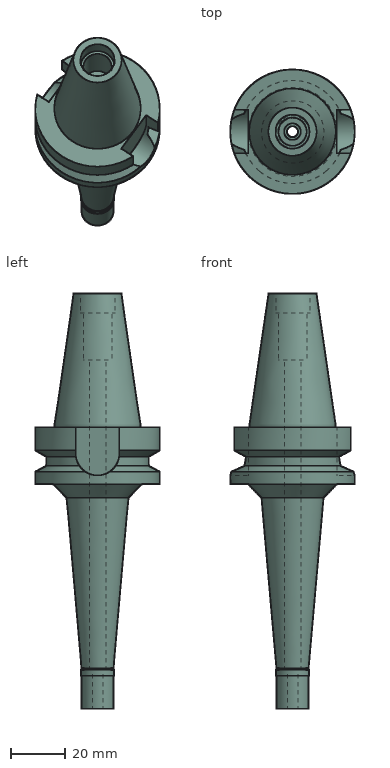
import cadquery as cq

total_length = 153.4
flange_radius = 23.0

taper_top_radius = 8.9
taper_base_radius = 16.0
gauge_height = 105.0

flange_top = 104.0
groove_upper_rim = 95.4
groove_floor_top = 93.1
groove_floor_bottom = 89.7
groove_lower_rim = 87.6
flange_bottom = 83.0
groove_radius = 19.0

slot_width = 16.1
slot_floor_offset = 16.3
slot_bottom = 86.2

collar_radius = 16.4
neck_top = 78.0
neck_top_radius = 11.5
neck_end = 15.0
neck_end_radius = 6.0

nut_gap = 0.6
nut_neck_radius = 5.0
nut_rim_bottom = 12.3
nut_rim_radius = 6.1
nut_radius = 6.0

counterbore_radius = 6.3
counterbore_depth = 7.0
draw_bolt_radius = 5.2
draw_bolt_depth = 24.5
coolant_radius = 3.0
nut_bore_radius = 2.0


def revolve_profile(points):
    """Revolve a closed outline of (radius, height) points about the Z axis."""
    return cq.Workplane("XZ").polyline(points).close().revolve(360, (0, 0), (0, 1))


def make_holder_blank():
    """Outside of the holder, with its stepped bore."""
    counterbore_floor = total_length - counterbore_depth
    draw_bolt_floor = total_length - draw_bolt_depth
    return revolve_profile([
        (coolant_radius, neck_end),
        (neck_end_radius, neck_end),
        (neck_top_radius, neck_top),
        (collar_radius, flange_bottom),
        (flange_radius, flange_bottom),
        (flange_radius, groove_lower_rim),
        (groove_radius, groove_floor_bottom),
        (groove_radius, groove_floor_top),
        (flange_radius, groove_upper_rim),
        (flange_radius, flange_top),
        (taper_base_radius, flange_top),
        (taper_base_radius, gauge_height),
        (taper_top_radius, total_length),
        (counterbore_radius, total_length),
        (counterbore_radius, counterbore_floor),
        (draw_bolt_radius, counterbore_floor),
        (draw_bolt_radius, draw_bolt_floor),
        (coolant_radius, draw_bolt_floor),
    ])


def make_drive_slot(side):
    """Cutter for one round-bottomed drive slot; side is +1 for +X and -1 for -X."""
    half_width = slot_width / 2
    arc_height = slot_bottom + half_width
    return (
        cq.Workplane("YZ", origin=(side * slot_floor_offset, 0, 0))
        .moveTo(-half_width, flange_top)
        .lineTo(-half_width, arc_height)
        .threePointArc((0, slot_bottom), (half_width, arc_height))
        .lineTo(half_width, flange_top)
        .close()
        .extrude(side * flange_radius)
    )


def make_holder():
    """Tool holder: taper shank, grooved flange with two drive slots, and neck."""
    holder = make_holder_blank()
    for side in (-1, 1):
        holder = holder.cut(make_drive_slot(side))
    return holder


def make_nut():
    """Nose nut: a bored sleeve with a raised rim and a narrow seat against the neck."""
    rim_top = neck_end - nut_gap
    return revolve_profile([
        (nut_bore_radius, 0),
        (nut_radius, 0),
        (nut_radius, nut_rim_bottom),
        (nut_rim_radius, nut_rim_bottom),
        (nut_rim_radius, rim_top),
        (nut_neck_radius, rim_top),
        (nut_neck_radius, neck_end),
        (nut_bore_radius, neck_end),
    ])


holder = make_holder()
nut = make_nut()

result = cq.Compound.makeCompound([holder.val(), nut.val()])